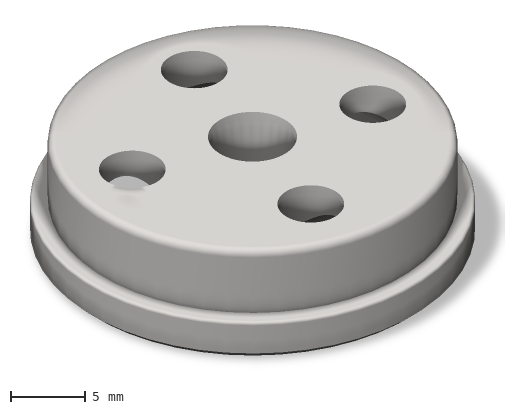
import cadquery as cq
import math

flange_diameter = 30.0
boss_diameter = 27.6
total_height = 8.0
flange_height = 3.0

boss_top_fillet = 0.5
flange_top_fillet = 0.2
flange_bottom_chamfer = 0.5

bolt_hole_diameter = 4.5
bolt_circle_radius = 9.0
bolt_hole_count = 4
first_bolt_angle = 45.0

bore_top_diameter = 6.0
bore_bottom_diameter = 4.0

groove_centre_radius = bolt_circle_radius
groove_mouth_width = 7.38
groove_roof_radius = 3.0
groove_depth = 6.0


def make_flange():
    flange = cq.Workplane("XY").circle(flange_diameter / 2).extrude(flange_height)
    flange = flange.faces("<Z").edges().chamfer(flange_bottom_chamfer)
    return flange.faces(">Z").edges().fillet(flange_top_fillet)


def make_boss():
    boss = cq.Workplane("XY").circle(boss_diameter / 2).extrude(total_height)
    return boss.faces(">Z").edges().fillet(boss_top_fillet)


def make_bolt_holes():
    return (
        cq.Workplane("XY")
        .polarArray(bolt_circle_radius, first_bolt_angle, 360, bolt_hole_count)
        .circle(bolt_hole_diameter / 2)
        .extrude(total_height)
    )


def make_tapered_bore():
    return (
        cq.Workplane("XY")
        .circle(bore_bottom_diameter / 2)
        .workplane(offset=total_height)
        .circle(bore_top_diameter / 2)
        .loft(ruled=True)
    )


def make_underside_groove():
    roof_centre_height = groove_depth - groove_roof_radius
    half_mouth = groove_mouth_width / 2
    centre_distance = math.hypot(half_mouth, roof_centre_height)
    draft = math.atan2(half_mouth, roof_centre_height) - math.asin(groove_roof_radius / centre_distance)
    tangent_offset = groove_roof_radius * math.cos(draft)
    tangent_height = roof_centre_height + groove_roof_radius * math.sin(draft)
    return (
        cq.Workplane("XZ")
        .moveTo(groove_centre_radius - half_mouth, 0)
        .lineTo(groove_centre_radius - tangent_offset, tangent_height)
        .threePointArc(
            (groove_centre_radius, groove_depth),
            (groove_centre_radius + tangent_offset, tangent_height),
        )
        .lineTo(groove_centre_radius + half_mouth, 0)
        .close()
        .revolve(360, (0, 0, 0), (0, 1, 0))
    )


body = make_flange().union(make_boss()).cut(make_underside_groove())
result = body.cut(make_bolt_holes()).cut(make_tapered_bore())